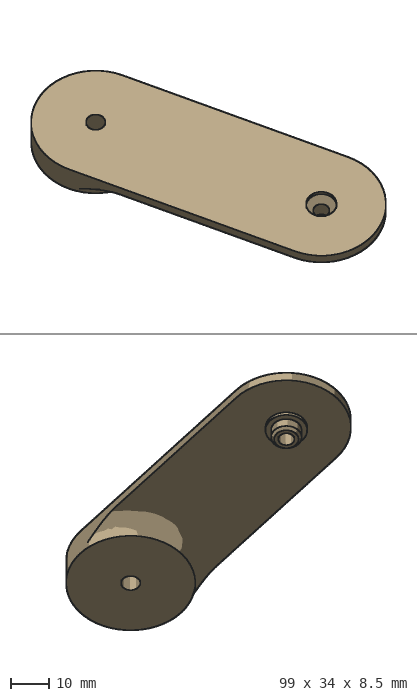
import cadquery as cq

length = 99.0
width = 34.0
height = 8.5
plate_thickness = 3.0

end_radius = width / 2
center_offset = length / 2 - end_radius
pad_depth = height - plate_thickness
pad_fillet = pad_depth

pad_hole_diameter = 5.0

flange_diameter = 11.0
flange_height = 1.0
pin_diameter = 8.0
pin_height = 4.5
pin_chamfer = 0.8

screw_hole_diameter = 4.3
screw_head_diameter = 8.0
screw_recess_depth = 1.0
seat_depth = (screw_head_diameter - screw_hole_diameter) / 2


def disc(x, diameter, top, depth):
    """Upright cylinder hanging down from the height top."""
    return cq.Workplane("XY").center(x, 0).circle(diameter / 2).extrude(-depth).translate((0, 0, top))


def make_plate(thickness):
    """Slot-shaped slab whose top face is at z = 0."""
    return cq.Workplane("XY").slot2D(length, width).extrude(-thickness)


def make_pad():
    """Round pad that flares into the plate, trimmed to the slot outline."""
    flare = (
        cq.Workplane("XZ")
        .moveTo(0, -plate_thickness)
        .lineTo(end_radius + pad_fillet, -plate_thickness)
        .radiusArc((end_radius, -height), -pad_fillet)
        .lineTo(0, -height)
        .close()
        .revolve(360, (0, 0), (0, 1))
        .translate((-center_offset, 0, 0))
    )
    return flare.intersect(make_plate(height))


def make_boss():
    flange = disc(center_offset, flange_diameter, -plate_thickness, flange_height)
    pin = disc(center_offset, pin_diameter, -plate_thickness, pin_height)
    return flange.union(pin.faces("<Z").chamfer(pin_chamfer))


def make_screw_hole():
    """Cutter with a head recess, a conical seat and a through hole."""
    head_radius = screw_head_diameter / 2
    hole_radius = screw_hole_diameter / 2
    seat_bottom = -screw_recess_depth - seat_depth
    return (
        cq.Workplane("XZ")
        .polyline([
            (0, 0),
            (head_radius, 0),
            (head_radius, -screw_recess_depth),
            (hole_radius, seat_bottom),
            (hole_radius, -height),
            (0, -height),
        ])
        .close()
        .revolve(360, (0, 0), (0, 1))
        .translate((center_offset, 0, 0))
    )


pad_hole = disc(-center_offset, pad_hole_diameter, 0, height)

result = (
    make_plate(plate_thickness)
    .union(make_pad())
    .union(make_boss())
    .cut(pad_hole)
    .cut(make_screw_hole())
)